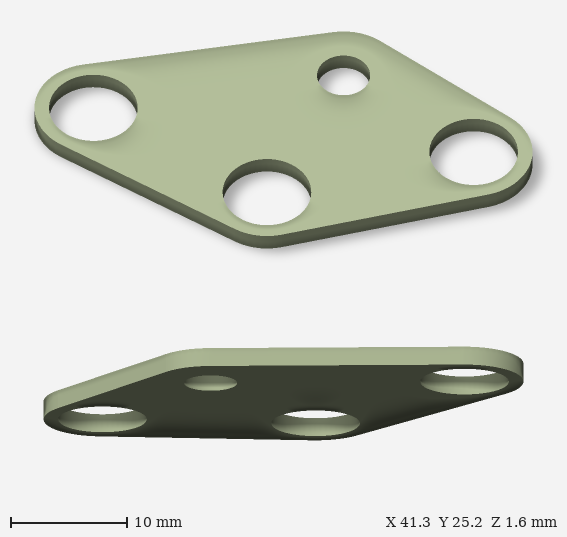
import cadquery as cq

length = 41.3
thickness = 1.6
corner_radius = 5.08
large_hole_diameter = 7.65
small_hole_diameter = 4.6

left_center = (0, 0)
bottom_center = (17.8, -1.3)
right_center = (length - 2 * corner_radius, 11.4)
top_center = (17.05, 13.7)
corner_centers = [left_center, bottom_center, right_center, top_center]

plate = (
    cq.Workplane("XY")
    .polyline(corner_centers)
    .close()
    .offset2D(corner_radius, "arc")
    .extrude(thickness)
)


def through_holes(centers, diameter):
    """Cylinders that cut through the full plate thickness."""
    return cq.Workplane("XY").pushPoints(centers).circle(diameter / 2).extrude(thickness)


large_holes = through_holes([left_center, bottom_center, right_center], large_hole_diameter)
small_hole = through_holes([top_center], small_hole_diameter)

result = plate.cut(large_holes).cut(small_hole)